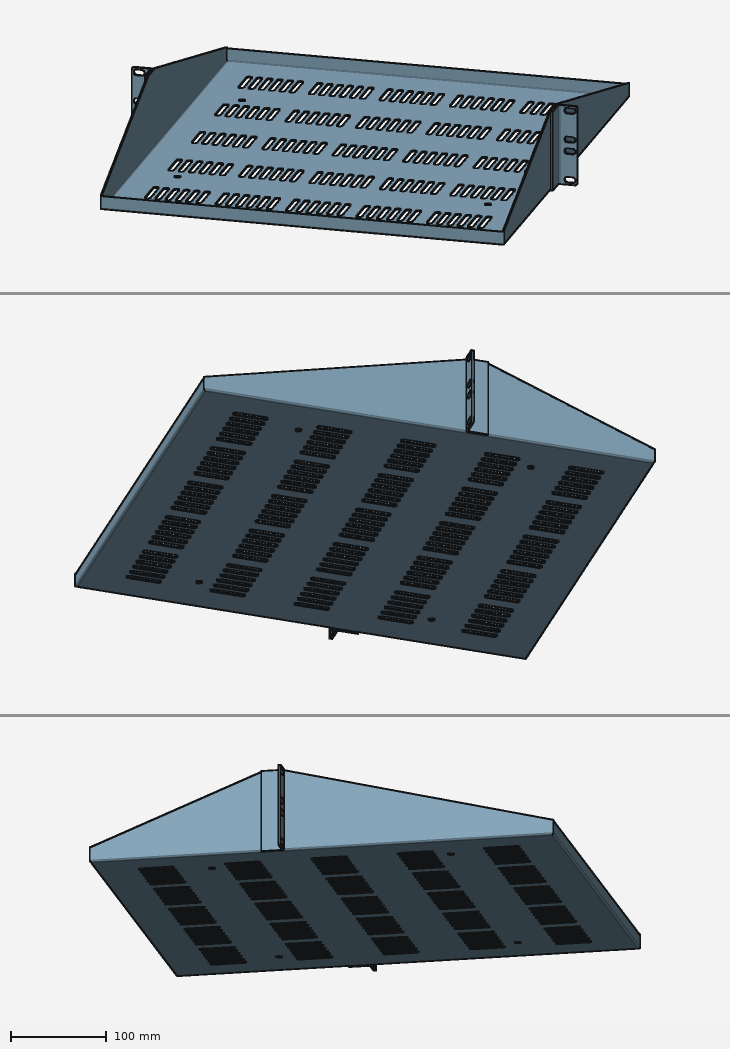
import cadquery as cq
SHELF_DEPTH = 495.5
OVERALL_WIDTH = 482.5
HEIGHT = 87.0

SHELF_WIDTH = 437.0
SHEET = 1.5
BEND_RADIUS = 2.0
INNER_BEND_RADIUS = BEND_RADIUS - SHEET
LIP_HEIGHT = 15.0
WALL_END_HEIGHT = 16.0

EAR_SHEET = 2.5
EAR_BACK_Y = -39.0
EAR_BEND_RADIUS = 4.0
EAR_CORNER_RADIUS = 2.5
LEG_DEPTH = 25.0
LEG_FRONT_Y = EAR_BACK_Y - LEG_DEPTH
EAR_SLOT_LENGTH = 12.0
EAR_SLOT_WIDTH = 6.5
EAR_SLOT_INSET = 8.0
RACK_UNIT = 44.5
EAR_SLOT_SPACING = 31.5

VENT_LENGTH = 38.0
VENT_WIDTH = 6.0
VENTS_PER_GROUP = 6
GROUP_SPAN = 55.5
VENT_PITCH = GROUP_SPAN / (VENTS_PER_GROUP - 1)
GROUPS_ACROSS = 5
GROUP_PITCH = 76.5
ROWS = 5
ROW_PITCH = 92.0

HOLE_DIAMETER = 6.5
HOLE_SPACING_X = 336.5
HOLE_SPACING_Y = 255.0


def centred(count, pitch):
    """Positions of evenly spaced items centred on zero."""
    return [(i - (count - 1) / 2) * pitch for i in range(count)]


def wall_profile():
    """Outline in the YZ plane: low at both ends, rising to a flat peak at the ears."""
    half_depth = SHELF_DEPTH / 2
    return (
        cq.Workplane("YZ")
        .polyline([
            (-half_depth, 0),
            (half_depth, 0),
            (half_depth, WALL_END_HEIGHT),
            (EAR_BACK_Y, HEIGHT),
            (LEG_FRONT_Y, HEIGHT),
            (-half_depth, WALL_END_HEIGHT),
        ])
        .close()
    )


def folded_tray():
    """Floor, end lips and peaked side walls, with rounded bends around the floor."""
    outside = wall_profile().extrude(SHELF_WIDTH / 2, both=True).faces("<Z").edges().fillet(BEND_RADIUS)
    inside = (
        cq.Workplane("XY", origin=(0, 0, SHEET))
        .rect(SHELF_WIDTH - 2 * SHEET, SHELF_DEPTH - 2 * SHEET)
        .extrude(HEIGHT)
        .faces("<Z").edges().fillet(INNER_BEND_RADIUS)
    )
    above_lips = (
        cq.Workplane("XY", origin=(0, 0, LIP_HEIGHT))
        .rect(SHELF_WIDTH - 2 * SHEET, SHELF_DEPTH)
        .extrude(HEIGHT)
    )
    return outside.cut(inside).cut(above_lips)


def floor_vents():
    """Cutter for all the ventilation slots, which run front to back."""
    points = [
        (group + vent, row)
        for group in centred(GROUPS_ACROSS, GROUP_PITCH)
        for vent in centred(VENTS_PER_GROUP, VENT_PITCH)
        for row in centred(ROWS, ROW_PITCH)
    ]
    return cq.Workplane("XY").pushPoints(points).slot2D(VENT_LENGTH, VENT_WIDTH, 90).extrude(2 * SHEET)


def floor_holes():
    """Cutter for the four round mounting holes."""
    return (
        cq.Workplane("XY")
        .rect(HOLE_SPACING_X, HOLE_SPACING_Y, forConstruction=True)
        .vertices()
        .circle(HOLE_DIAMETER / 2)
        .extrude(2 * SHEET)
    )


def make_shelf():
    return folded_tray().cut(floor_vents()).cut(floor_holes())


def make_left_ear():
    """L-shaped bracket: a leg flat on the side wall and an ear turned outward at its rear end."""
    inner_x = -SHELF_WIDTH / 2
    outer_x = -OVERALL_WIDTH / 2
    leg_outer_x = inner_x - EAR_SHEET
    ear_front_y = EAR_BACK_Y - EAR_SHEET
    bracket = (
        cq.Workplane("XY")
        .polyline([
            (inner_x, LEG_FRONT_Y),
            (inner_x, EAR_BACK_Y),
            (outer_x, EAR_BACK_Y),
            (outer_x, ear_front_y),
            (leg_outer_x, ear_front_y),
            (leg_outer_x, LEG_FRONT_Y),
        ])
        .close()
        .extrude(HEIGHT)
    )
    bend_outside = cq.selectors.NearestToPointSelector((inner_x, EAR_BACK_Y, HEIGHT / 2))
    bend_inside = cq.selectors.NearestToPointSelector((leg_outer_x, ear_front_y, HEIGHT / 2))
    bracket = bracket.edges(bend_outside).fillet(EAR_BEND_RADIUS)
    bracket = bracket.edges(bend_inside).fillet(EAR_BEND_RADIUS - EAR_SHEET)
    bracket = bracket.faces("<X").edges("|Y").fillet(EAR_CORNER_RADIUS)

    slot_points = [
        (outer_x + EAR_SLOT_INSET, HEIGHT / 2 + unit + offset)
        for unit in centred(2, RACK_UNIT)
        for offset in centred(2, EAR_SLOT_SPACING)
    ]
    slots = (
        cq.Workplane("XZ", origin=(0, EAR_BACK_Y, 0))
        .pushPoints(slot_points)
        .slot2D(EAR_SLOT_LENGTH, EAR_SLOT_WIDTH)
        .extrude(EAR_SHEET)
    )
    return bracket.cut(slots)


shelf = make_shelf()
left_ear = make_left_ear()
right_ear = left_ear.mirror("YZ")

result = cq.Compound.makeCompound([shelf.val(), left_ear.val(), right_ear.val()])